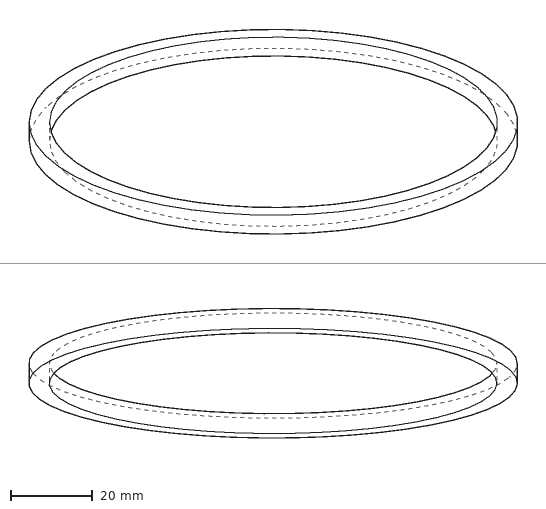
import cadquery as cq

outer_diameter = 119.8
section_side = 5.0
inner_diameter = outer_diameter - 2 * section_side

result = (
    cq.Workplane("XY")
    .circle(outer_diameter / 2)
    .circle(inner_diameter / 2)
    .extrude(section_side)
)